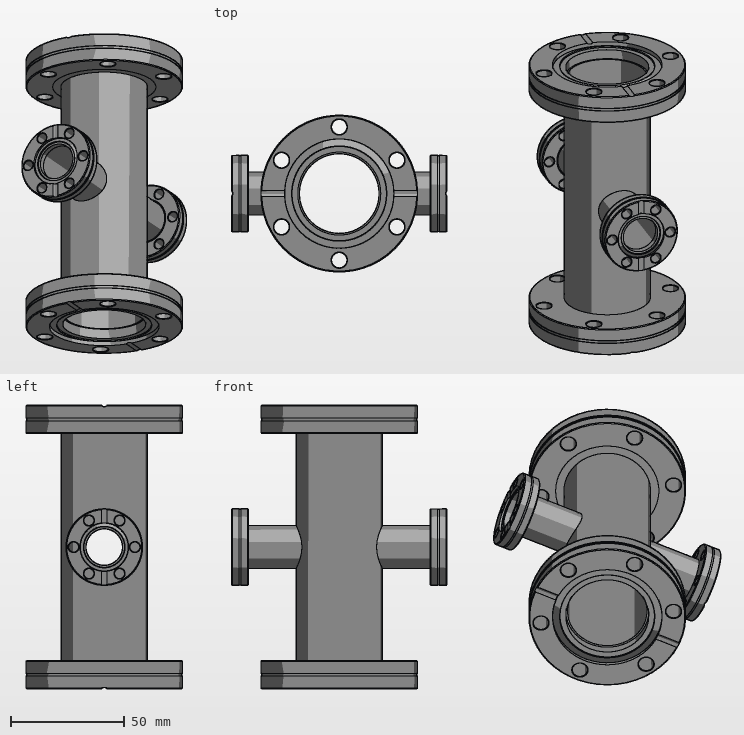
import cadquery as cq
import math


length_x = 95.0
length_z = 125.0

main_tube_outer_diameter = 38.1
main_tube_inner_diameter = 35.0
side_tube_outer_diameter = 19.1
side_tube_inner_diameter = 16.0
socket_clearance = 0.1

bolt_count = 6
bolt_hole_chamfer = 0.25
rim_chamfer = 0.4
knife_flank_angle = 20.0
knife_height = 0.5
knife_inner_run = 0.2

large_flange = dict(
    outer_diameter=69.1,
    thickness=12.5,
    bore_diameter=36.6,
    socket_diameter=main_tube_outer_diameter + socket_clearance,
    socket_start=5.5,
    knife_diameter=42.0,
    knife_depth=0.7,
    recess_diameter=48.26,
    lip_diameter=48.1,
    neck_diameter=45.5,
    lip_back=5.0,
    bolt_circle=58.7,
    bolt_hole=6.7,
    leak_groove_width=2.6,
    leak_groove_depth=0.6,
    rim_groove_width=1.2,
    rim_groove_depth=0.3,
)
small_flange = dict(
    outer_diameter=33.8,
    thickness=7.5,
    bore_diameter=side_tube_inner_diameter,
    socket_diameter=side_tube_outer_diameter + socket_clearance,
    socket_start=4.0,
    knife_diameter=18.3,
    knife_depth=0.6,
    recess_diameter=21.4,
    lip_diameter=21.1,
    neck_diameter=20.2,
    lip_back=4.0,
    bolt_circle=27.0,
    bolt_hole=4.4,
    leak_groove_width=2.4,
    leak_groove_depth=0.5,
    rim_groove_width=0.8,
    rim_groove_depth=0.15,
)


def cylinder(diameter, bottom, top):
    """Cylinder on the Z axis between two heights."""
    return cq.Workplane("XY").workplane(offset=bottom).circle(diameter / 2).extrude(top - bottom)


def side_cylinder(diameter, start, end):
    """Cylinder on the X axis between two places."""
    return cq.Workplane("YZ").workplane(offset=start).circle(diameter / 2).extrude(end - start)


def revolve_profile(points):
    """Turn a closed (radius, height) outline around the Z axis."""
    return cq.Workplane("XZ").polyline(points).close().revolve(360, (0, 0, 0), (0, 1, 0))


def bolt_holes(size):
    """Ring of bolt holes, chamfered at both faces."""
    radius = size["bolt_hole"] / 2
    wide_radius = radius + bolt_hole_chamfer
    back = -size["thickness"]
    shoulder = bolt_hole_chamfer
    outline = [
        (0, 0),
        (wide_radius, 0),
        (radius, -shoulder),
        (radius, back + shoulder),
        (wide_radius, back),
        (0, back),
    ]
    hole = revolve_profile(outline).val()
    first_angle = 90
    positions = cq.Workplane("XY").polarArray(size["bolt_circle"] / 2, first_angle, 360, bolt_count)
    return positions.eachpoint(lambda location: hole.moved(location))


def rim_groove(size):
    """Shallow groove around the middle of the rim."""
    middle = -size["thickness"] / 2
    bottom = middle - size["rim_groove_width"] / 2
    top = middle + size["rim_groove_width"] / 2
    floor_diameter = size["outer_diameter"] - 2 * size["rim_groove_depth"]
    return cylinder(size["outer_diameter"], bottom, top).cut(cylinder(floor_diameter, bottom, top))


def leak_groove(size):
    """Round-bottomed groove across the front face, along X."""
    half_width = size["leak_groove_width"] / 2
    depth = size["leak_groove_depth"]
    radius = (half_width**2 + depth**2) / (2 * depth)
    half_length = size["outer_diameter"] / 2
    groove = cq.Workplane("YZ").center(0, radius - depth).circle(radius)
    return groove.extrude(half_length, both=True)


def flange_blank(size):
    """Disc with the rim, bolt holes and leak groove, before its centre is opened."""
    blank = cylinder(size["outer_diameter"], -size["thickness"], 0).edges().chamfer(rim_chamfer)
    return blank.cut(rim_groove(size)).cut(bolt_holes(size)).cut(leak_groove(size))


def sealing_face(size, outer_diameter):
    """Outline of the knife-edge seal, from the outer corner in to the bore."""
    outer_radius = outer_diameter / 2
    knife_radius = size["knife_diameter"] / 2
    tip = -size["knife_depth"]
    flank_drop = (outer_radius - knife_radius) * math.tan(math.radians(knife_flank_angle))
    land = tip - knife_height
    return [
        (outer_radius, tip - flank_drop),
        (knife_radius, tip),
        (knife_radius - knife_inner_run, land),
        (size["bore_diameter"] / 2, land),
    ]


def socket_outline(size):
    """Outline of the bore and the tube socket, from the step to the back face."""
    socket_radius = size["socket_diameter"] / 2
    step = -size["socket_start"]
    return [
        (size["bore_diameter"] / 2, step),
        (socket_radius, step),
        (socket_radius, -size["thickness"]),
    ]


def fixed_flange(size):
    """One-piece flange with recess, knife edge, bore and tube socket."""
    recess_radius = size["recess_diameter"] / 2
    opening = [(0, 0), (recess_radius, 0)]
    opening += sealing_face(size, size["recess_diameter"])
    opening += socket_outline(size)
    opening += [(0, -size["thickness"])]
    return flange_blank(size).cut(revolve_profile(opening))


def rotatable_ring(size):
    """Bolt ring, counterbored for the insert lip and bored for its neck."""
    counterbore = cylinder(size["recess_diameter"], -size["lip_back"], 0)
    neck_bore = cylinder(size["neck_diameter"], -size["thickness"], 0)
    return flange_blank(size).cut(counterbore).cut(neck_bore)


def sealing_insert(size):
    """Knife-edge insert with a lip, a neck and a tube socket."""
    lip_radius = size["lip_diameter"] / 2
    neck_radius = size["neck_diameter"] / 2
    outline = sealing_face(size, size["lip_diameter"])
    outline += socket_outline(size)
    outline += [
        (neck_radius, -size["thickness"]),
        (neck_radius, -size["lip_back"]),
        (lip_radius, -size["lip_back"]),
    ]
    return revolve_profile(outline)


main_tube_end = length_z / 2 - large_flange["socket_start"]
side_tube_end = length_x / 2 - small_flange["socket_start"]


def main_tube():
    """Tube along Z with a hole through both walls for the side tubes."""
    tube = cylinder(main_tube_outer_diameter, -main_tube_end, main_tube_end)
    tube = tube.cut(cylinder(main_tube_inner_diameter, -main_tube_end, main_tube_end))
    return tube.cut(side_cylinder(side_tube_outer_diameter, -side_tube_end, side_tube_end))


def side_tube(direction):
    """Tube along +X or -X, coped to the inner wall of the main tube."""
    end = direction * side_tube_end
    tube = side_cylinder(side_tube_outer_diameter, 0, end)
    tube = tube.cut(side_cylinder(side_tube_inner_diameter, 0, end))
    return tube.cut(cylinder(main_tube_inner_diameter, -main_tube_end, main_tube_end))


def place(body, turn, position):
    """Turn a flange body about Y and move its front face to a tube end."""
    return body.rotate((0, 0, 0), (0, 1, 0), turn).translate(position).solids().val()


top_place = (0, (0, 0, length_z / 2))
bottom_place = (180, (0, 0, -length_z / 2))
left_place = (-90, (-length_x / 2, 0, 0))
right_place = (90, (length_x / 2, 0, 0))

bodies = [main_tube().solids().val()]
for direction in (-1, 1):
    bodies.append(side_tube(direction).solids().val())
for size, flange_place in ((large_flange, bottom_place), (small_flange, right_place)):
    bodies.append(place(fixed_flange(size), *flange_place))
for size, flange_place in ((large_flange, top_place), (small_flange, left_place)):
    bodies.append(place(rotatable_ring(size), *flange_place))
    bodies.append(place(sealing_insert(size), *flange_place))

result = cq.Compound.makeCompound(bodies)